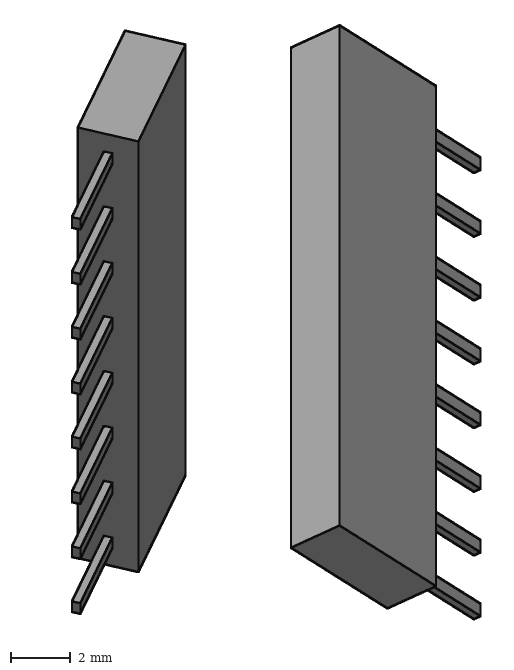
import cadquery as cq

housing_width = 2.15
housing_depth = 5.0
housing_height = 19.92

pin_count = 8
end_margin = 1.08
pin_pitch = (housing_height - 2 * end_margin) / (pin_count - 1)
pin_width = 0.3
pin_height = 0.5
overall_depth = 8.39
pin_length = overall_depth - housing_depth


def make_housing():
    """Plain block centred on X and Z, with its pin face at Y = 0."""
    return cq.Workplane("XY").box(
        housing_width, housing_depth, housing_height, centered=(True, False, True)
    )


def make_pins():
    """Evenly spaced pins, centred along the housing height."""
    return (
        cq.Workplane("XZ")
        .rarray(pin_pitch, pin_pitch, 1, pin_count)
        .rect(pin_width, pin_height)
        .extrude(pin_length)
    )


result = make_housing().union(make_pins())